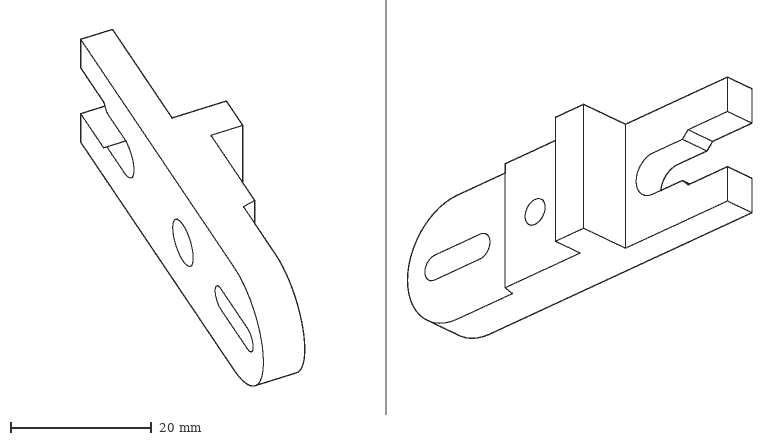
import cadquery as cq

length = 62.5
width = 20.0
height = 13.5
end_radius = width / 2

fork_thickness = 5.0
tail_thickness = 6.5
pad_thickness = 8.5
rib_start = 20.4
rib_width = 5.6
pad_end = 41.0
pad_slope_run = 0.5

mouth_width = 8.9
throat_width = 6.6
mouth_depth = 7.9
slot_depth = 18.25
throat_radius = throat_width / 2
taper = (mouth_width - throat_width) / 2

hole_x = 35.0
hole_diameter = 4.0
bore_diameter = 7.0
bore_depth = 2.5

slot_start = 46.0
slot_end = 59.0
slot_width = 4.0


def stepped_body():
    """Stepped side profile extruded across the width."""
    rib_end = rib_start + rib_width
    return (
        cq.Workplane("XY")
        .polyline([
            (0, 0),
            (length, 0),
            (length, tail_thickness),
            (pad_end + pad_slope_run, tail_thickness),
            (pad_end, pad_thickness),
            (rib_end, pad_thickness),
            (rib_end, height),
            (rib_start, height),
            (rib_start, fork_thickness),
            (0, fork_thickness),
        ])
        .close()
        .extrude(end_radius, both=True)
    )


def front_plane():
    """Sketch plane on the front face; extruding by a negative length goes into the part."""
    return cq.Workplane("XZ")


def rounded_outline():
    """Plate outline with a full round at the right end."""
    arc_x = length - end_radius
    return (
        front_plane()
        .moveTo(0, -end_radius)
        .lineTo(arc_x, -end_radius)
        .threePointArc((length, 0), (arc_x, end_radius))
        .lineTo(0, end_radius)
        .close()
        .extrude(-height)
    )


def fork_slot():
    """Open slot: wide mouth, 45 degree taper, narrower round-ended throat."""
    arc_x = slot_depth - throat_radius
    throat_start = mouth_depth + taper
    return (
        front_plane()
        .moveTo(0, -mouth_width / 2)
        .lineTo(mouth_depth, -mouth_width / 2)
        .lineTo(throat_start, -throat_radius)
        .lineTo(arc_x, -throat_radius)
        .threePointArc((slot_depth, 0), (arc_x, throat_radius))
        .lineTo(throat_start, throat_radius)
        .lineTo(mouth_depth, mouth_width / 2)
        .lineTo(0, mouth_width / 2)
        .close()
        .extrude(-height)
    )


def counterbored_hole():
    """Through hole with a counterbore in the front face."""
    centre = front_plane().center(hole_x, 0)
    through = centre.circle(hole_diameter / 2).extrude(-height)
    bore = centre.circle(bore_diameter / 2).extrude(-bore_depth)
    return through.union(bore)


def closed_slot():
    """Round-ended through slot near the rounded end."""
    return (
        front_plane()
        .center((slot_start + slot_end) / 2, 0)
        .slot2D(slot_end - slot_start, slot_width)
        .extrude(-height)
    )


result = (
    stepped_body()
    .intersect(rounded_outline())
    .cut(fork_slot())
    .cut(counterbored_hole())
    .cut(closed_slot())
)